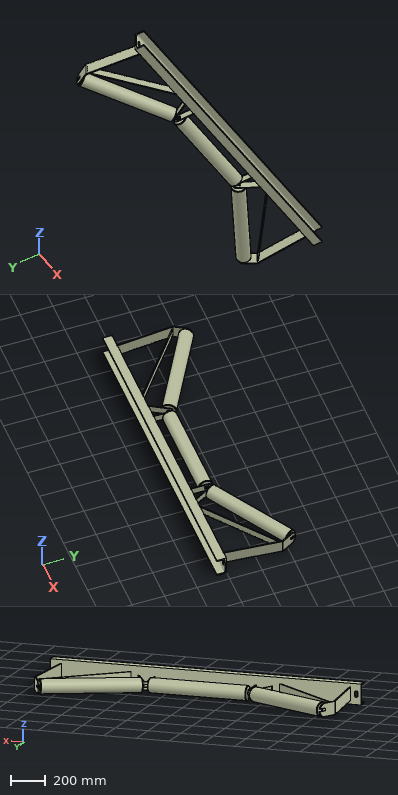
import cadquery as cq
import math


BEAM_LENGTH = 1900.0
BEAM_HEIGHT = 125.0
BEAM_DEPTH = 59.0
BEAM_THICKNESS = 10.0
BEAM_ROOT_FILLET = 10.0
END_SLOT_WIDTH = 19.0
END_SLOT_LENGTH = 36.0
END_SLOT_INSET = 28.0

ROLLER_LENGTH = 600.0
ROLLER_DIAMETER = 90.0
ROLLER_CHAMFER = 4.0
SHAFT_DIAMETER = 20.0
SHAFT_FLATS = 15.0
SLOT_OPENING = 76.0
CENTRE_ROLLER_Y = 112.0
CENTRE_ROLLER_Z = -17.0
WING_MIDDLE_X = 606.0
WING_MIDDLE_Y = 275.0
WING_INNER_Z = CENTRE_ROLLER_Z
WING_OUTER_Z = 2.0
TROUGH_ANGLE = 30.0

STRAP_OFFSET = 310.0
INNER_STRAP_WIDTH = 50.0
INNER_STRAP_THICKNESS = 5.0
INNER_BEND_RADIUS = 11.0
OUTER_STRAP_WIDTH = 80.0
OUTER_STRAP_THICKNESS = 8.0
TAB_DROP = 85.0
TAB_RISE = 32.0
OUTER_LEG_FOOT_X = 884.0

BRACE_WIDTH = 50.0
BRACE_FOOT_X = 460.0

FOOT_OVERRUN = 23.0

COS_TROUGH = math.cos(math.radians(TROUGH_ANGLE))
SIN_TROUGH = math.sin(math.radians(TROUGH_ANGLE))
SHAFT_LENGTH = 2 * STRAP_OFFSET + INNER_STRAP_THICKNESS
WING_TILT = math.degrees(math.asin((WING_OUTER_Z - WING_INNER_Z) / ROLLER_LENGTH))

CENTRE_FRAME = cq.Plane(
    origin=(0, CENTRE_ROLLER_Y, CENTRE_ROLLER_Z), xDir=(0, 0, -1), normal=(1, 0, 0)
)
WING_FRAME = cq.Plane(
    origin=(WING_MIDDLE_X, WING_MIDDLE_Y, (WING_INNER_Z + WING_OUTER_Z) / 2),
    xDir=(0, 0, -1),
    normal=(COS_TROUGH, SIN_TROUGH, 0),
).rotated((0, -WING_TILT, 0))


def wing_point(along, across):
    """Plan point of the +X wing: along its roller from the middle outwards, and square to it."""
    return (
        WING_MIDDLE_X + along * COS_TROUGH - across * SIN_TROUGH,
        WING_MIDDLE_Y + along * SIN_TROUGH + across * COS_TROUGH,
    )


LEG_TOP = wing_point(STRAP_OFFSET, -TAB_DROP + OUTER_STRAP_THICKNESS / 2)


def make_beam():
    """Channel with its flanges pointing to -Y and an upright slot near each end of the web."""
    half = BEAM_HEIGHT / 2
    inner_half = half - BEAM_THICKNESS
    beam = (
        cq.Workplane("YZ")
        .moveTo(0, -half)
        .lineTo(0, half)
        .lineTo(-BEAM_DEPTH, half)
        .lineTo(-BEAM_DEPTH, inner_half)
        .lineTo(-BEAM_THICKNESS, inner_half)
        .lineTo(-BEAM_THICKNESS, -inner_half)
        .lineTo(-BEAM_DEPTH, -inner_half)
        .lineTo(-BEAM_DEPTH, -half)
        .close()
        .extrude(BEAM_LENGTH / 2, both=True)
    )
    root_box = cq.selectors.BoxSelector(
        (-BEAM_LENGTH, -1.5 * BEAM_THICKNESS, -inner_half - BEAM_THICKNESS / 2),
        (BEAM_LENGTH, -BEAM_THICKNESS / 2, inner_half + BEAM_THICKNESS / 2),
    )
    beam = beam.edges("|X").edges(root_box).fillet(BEAM_ROOT_FILLET)
    slot_x = BEAM_LENGTH / 2 - END_SLOT_INSET
    slots = (
        cq.Workplane("XZ")
        .pushPoints([(-slot_x, 0), (slot_x, 0)])
        .slot2D(END_SLOT_LENGTH, END_SLOT_WIDTH, 90)
        .extrude(BEAM_DEPTH, both=True)
    )
    return beam.cut(slots)


def shaft_bar(frame, start, length):
    """Round bar with two flats along a roller axis."""
    base = cq.Workplane(frame).workplane(offset=start)
    flats = base.rect(SHAFT_FLATS, SHAFT_DIAMETER).extrude(length)
    return base.circle(SHAFT_DIAMETER / 2).extrude(length).intersect(flats)


def make_roller(frame):
    """Solid roller with the shaft ends standing out of it."""
    barrel = (
        cq.Workplane(frame)
        .workplane(offset=-ROLLER_LENGTH / 2)
        .circle(ROLLER_DIAMETER / 2)
        .extrude(ROLLER_LENGTH)
        .edges("%CIRCLE")
        .chamfer(ROLLER_CHAMFER)
    )
    return barrel.union(shaft_bar(frame, -SHAFT_LENGTH / 2, SHAFT_LENGTH))


def cut_shaft_slot(bracket, frame, side):
    """Slot for one shaft end: its floor follows the shaft and it is open away from the beam."""
    reach = 2 * OUTER_STRAP_THICKNESS
    start = side * STRAP_OFFSET - reach
    mouth = (
        cq.Workplane(frame)
        .workplane(offset=start)
        .rect(SHAFT_FLATS, SLOT_OPENING, centered=(True, False))
        .extrude(2 * reach)
    )
    return bracket.cut(shaft_bar(frame, start, 2 * reach)).cut(mouth)


def flat_strap(start, end, width):
    """Straight strap with square ends between two plan points, centred on z = 0."""
    length = math.dist(start, end)
    angle = math.degrees(math.atan2(end[1] - start[1], end[0] - start[0]))
    middle = ((start[0] + end[0]) / 2, (start[1] + end[1]) / 2)
    return (
        cq.Workplane("XY")
        .center(*middle)
        .transformed(rotate=(0, 0, angle))
        .rect(length, OUTER_STRAP_THICKNESS)
        .extrude(width / 2, both=True)
    )


def foot_beyond(top, foot_x):
    """Point past the beam's back face on the line from a top point to a foot on that face."""
    share = 1 + FOOT_OVERRUN / top[1]
    return (top[0] + (foot_x - top[0]) * share, -FOOT_OVERRUN)


def trim_to_beam(body):
    """Remove what lies below the beam's back face, so that the feet sit flat on it."""
    below = cq.Workplane("XY").box(BEAM_LENGTH, BEAM_HEIGHT, BEAM_HEIGHT)
    return body.cut(below.translate((0, -BEAM_HEIGHT / 2, 0)))


def make_inner_bracket():
    """Strap bent over between the centre roller and the +X wing roller, with a foot on each leg."""
    leg_x = STRAP_OFFSET
    lean_x, lean_y = wing_point(-STRAP_OFFSET, 0)
    lean_foot_x = lean_x + lean_y * SIN_TROUGH / COS_TROUGH
    apex_y = (lean_foot_x - leg_x) * COS_TROUGH / SIN_TROUGH
    bend_y = apex_y - INNER_BEND_RADIUS / math.tan(math.radians(TROUGH_ANGLE / 2))
    bend_x = leg_x + INNER_BEND_RADIUS

    def bend_point(radius, angle):
        turn = math.radians(angle)
        return (bend_x + radius * math.cos(turn), bend_y + radius * math.sin(turn))

    outer_radius = INNER_BEND_RADIUS + INNER_STRAP_THICKNESS / 2
    inner_radius = INNER_BEND_RADIUS - INNER_STRAP_THICKNESS / 2
    half_foot = INNER_STRAP_THICKNESS / 2 / COS_TROUGH
    mid_bend = 90 + TROUGH_ANGLE / 2
    plan = (
        cq.Workplane("XY")
        .moveTo(leg_x - INNER_STRAP_THICKNESS / 2, 0)
        .lineTo(*bend_point(outer_radius, 180))
        .threePointArc(bend_point(outer_radius, mid_bend), bend_point(outer_radius, TROUGH_ANGLE))
        .lineTo(lean_foot_x + half_foot, 0)
        .lineTo(lean_foot_x - half_foot, 0)
        .lineTo(*bend_point(inner_radius, TROUGH_ANGLE))
        .threePointArc(bend_point(inner_radius, mid_bend), bend_point(inner_radius, 180))
        .lineTo(leg_x + INNER_STRAP_THICKNESS / 2, 0)
        .close()
    )
    bracket = plan.extrude(INNER_STRAP_WIDTH / 2, both=True)
    bracket = bracket.translate((0, 0, CENTRE_ROLLER_Z))
    bracket = cut_shaft_slot(bracket, CENTRE_FRAME, 1)
    return cut_shaft_slot(bracket, WING_FRAME, -1)


def make_outer_bracket():
    """Leaning leg with a tab on top that holds the outer shaft end of the +X wing roller."""
    half_width = OUTER_STRAP_WIDTH / 2
    tab_frame = cq.Plane(
        origin=(*wing_point(STRAP_OFFSET, 0), 0), xDir=(0, 0, -1), normal=(COS_TROUGH, SIN_TROUGH, 0)
    )
    tab = (
        cq.Workplane(tab_frame)
        .moveTo(-half_width, -TAB_DROP)
        .lineTo(half_width, -TAB_DROP)
        .lineTo(half_width, TAB_RISE - half_width)
        .threePointArc((0, TAB_RISE), (-half_width, TAB_RISE - half_width))
        .close()
        .extrude(OUTER_STRAP_THICKNESS / 2, both=True)
    )
    tab = cut_shaft_slot(tab, WING_FRAME, 1)
    leg = flat_strap(LEG_TOP, foot_beyond(LEG_TOP, OUTER_LEG_FOOT_X), OUTER_STRAP_WIDTH)
    return trim_to_beam(tab.union(leg))


def make_brace(outer_bracket):
    """Diagonal strap from the beam to the inner side of the +X outer bracket."""
    brace = flat_strap(LEG_TOP, foot_beyond(LEG_TOP, BRACE_FOOT_X), BRACE_WIDTH)
    return trim_to_beam(brace).cut(outer_bracket)


beam = make_beam()
centre_roller = make_roller(CENTRE_FRAME)
wing_roller = make_roller(WING_FRAME)
inner_bracket = make_inner_bracket()
outer_bracket = make_outer_bracket()
brace = make_brace(outer_bracket)

bodies = [beam.solids().val(), centre_roller.solids().val()]
for wing_body in (wing_roller, inner_bracket, outer_bracket, brace):
    wing_solid = wing_body.solids().val()
    bodies.append(wing_solid)
    bodies.append(wing_solid.mirror("YZ"))

result = cq.Compound.makeCompound(bodies)